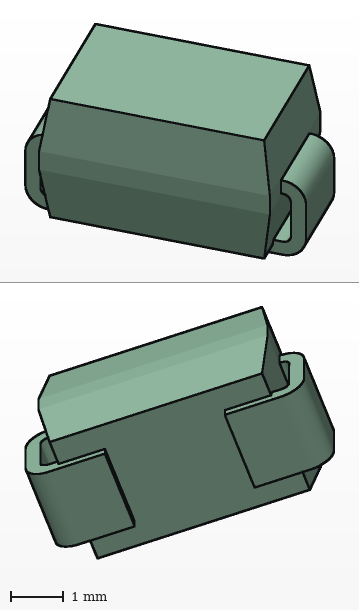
import cadquery as cq

total_length = 5.6
total_height = 2.9

body_length = 4.605
body_width = 2.95
end_inset = 0.17
side_inset = 0.155
body_bottom = 0.19
band_bottom = 1.34
band_top = 1.765

lead_width = 1.645
lead_thickness = 0.3
lead_top = 1.7
foot_length = 1.595
bend_outer_radius = 0.465
bend_inner_radius = bend_outer_radius - lead_thickness


def tapered_half(band_z, end_z):
    """Taper from the full body outline at band_z to the inset outline at end_z."""
    return (
        cq.Workplane("XY", origin=(0, 0, band_z))
        .rect(body_length, body_width)
        .workplane(offset=end_z - band_z)
        .rect(body_length - 2 * end_inset, body_width - 2 * side_inset)
        .loft(ruled=True)
    )


def make_body():
    band = (
        cq.Workplane("XY", origin=(0, 0, band_bottom))
        .rect(body_length, body_width)
        .extrude(band_top - band_bottom)
    )
    upper = tapered_half(band_top, total_height)
    lower = tapered_half(band_bottom, body_bottom)
    return band.union(upper).union(lower)


def make_left_lead():
    """C-shaped strip whose upper arm and foot run inward to the body."""
    outer_x = -total_length / 2
    lead_end = cq.Workplane("XY", origin=(outer_x, 0, 0))
    outer = (
        lead_end.box(foot_length, lead_width, lead_top, centered=(False, True, False))
        .edges("|Y and <X")
        .fillet(bend_outer_radius)
    )
    window_height = lead_top - 2 * lead_thickness
    window = (
        lead_end.box(foot_length, lead_width, window_height, centered=(False, True, False))
        .translate((lead_thickness, 0, lead_thickness))
        .edges("|Y and <X")
        .fillet(bend_inner_radius)
    )
    return outer.cut(window)


left_lead = make_left_lead()
right_lead = left_lead.mirror("YZ")
result = make_body().union(left_lead).union(right_lead)